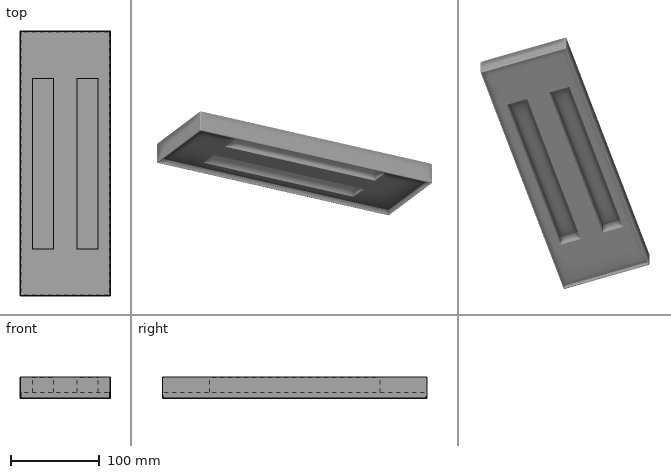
import cadquery as cq

WIDTH = 102.0
LENGTH = 299.0
HEIGHT = 24.2
TOP_ROUND = 1.5
SIDE_ROUND = 1.0

RIM_THICKNESS = 1.2
RECESS_DEPTH = 6.3

POCKET_WIDTH = 24.0
POCKET_LENGTH = 192.5
POCKET_SPACING = 50.2
TOP_SKIN = 0.8


def make_plate():
    plate = cq.Workplane("XY").box(WIDTH, LENGTH, HEIGHT, centered=(True, True, False))
    plate = plate.edges("|Z or <Z").fillet(SIDE_ROUND)
    return plate.faces(">Z").edges().fillet(TOP_ROUND)


def make_recess():
    return (
        cq.Workplane("XY")
        .rect(WIDTH - 2 * RIM_THICKNESS, LENGTH - 2 * RIM_THICKNESS)
        .extrude(RECESS_DEPTH)
    )


def make_pockets():
    centers = [(side * POCKET_SPACING / 2, 0) for side in (-1, 1)]
    return (
        cq.Workplane("XY")
        .pushPoints(centers)
        .rect(POCKET_WIDTH, POCKET_LENGTH)
        .extrude(HEIGHT - TOP_SKIN)
    )


result = make_plate().cut(make_recess()).cut(make_pockets())